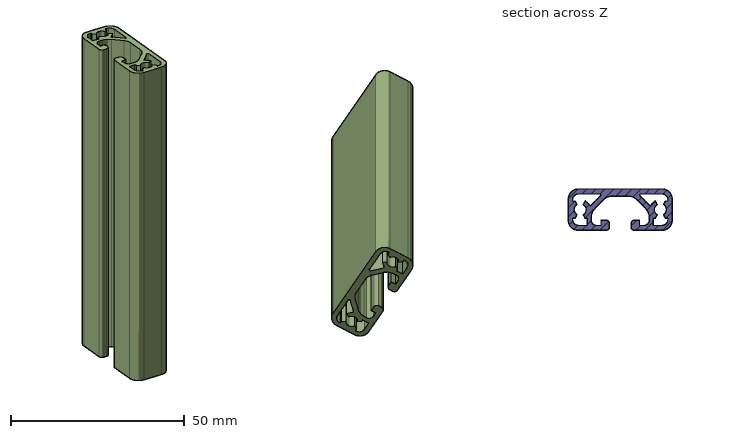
import cadquery as cq
import math

width = 30.0
depth = 12.0
length = 100.0
corner_radius = 3.0
side_wall = 1.3
face_wall = 1.5

half_depth = depth / 2
inner_face = half_depth - face_wall

slot_half_width = 3.1
lip_width = 2.5
lip_top = -3.0
lip_radius = 1.0
cavity_half_width = 8.3
cavity_ceiling = 3.8
cavity_floor_radius = 1.4
ceiling_radius = 3.0
shoulder_radius = 3.6

web_inner_offset = 7.6
web_thickness = 1.5
web_outer_offset = web_inner_offset + web_thickness * math.sqrt(2)

channel_x = 11.55
channel_radius = 1.7
channel_gap_half_angle = math.radians(30)
channel_rib_y = 2.5
hollow_inner_x = 9.55
web_root_radius = 0.3
hollow_corner_radius = corner_radius - side_wall
prong_offset = 7.45


def outer_bar():
    """Solid bar with rounded long edges, before the slot and hollows are removed."""
    return cq.Workplane("XY").rect(width, depth).extrude(length).edges("|Z").fillet(corner_radius)


def edges_at(solid, points, radius):
    """Fillet the long edges that pass through the given (x, y) points."""
    reach = 0.01
    for x, y in points:
        box = cq.selectors.BoxSelector(
            (x - reach, y - reach, -reach), (x + reach, y + reach, length + reach), boundingbox=True
        )
        solid = solid.edges(box).fillet(radius)
    return solid


def half_slot():
    """The +X half of the T-slot opening and its cavity."""
    lip_back_x = slot_half_width + lip_width
    wall_corner = (cavity_half_width, web_inner_offset - cavity_half_width)
    ceiling_corner = (web_inner_offset - cavity_ceiling, cavity_ceiling)
    slot = (
        cq.Workplane("XY")
        .moveTo(0, -half_depth)
        .lineTo(slot_half_width, -half_depth)
        .lineTo(slot_half_width, lip_top)
        .lineTo(lip_back_x, lip_top)
        .lineTo(lip_back_x, -inner_face)
        .lineTo(cavity_half_width, -inner_face)
        .lineTo(*wall_corner)
        .lineTo(*ceiling_corner)
        .lineTo(0, cavity_ceiling)
        .close()
        .extrude(length)
    )
    slot = edges_at(slot, [(cavity_half_width, -inner_face)], cavity_floor_radius)
    slot = edges_at(slot, [wall_corner], shoulder_radius)
    return edges_at(slot, [ceiling_corner], ceiling_radius)


def side_hollow():
    """The +X hollow, pinched by the ribs and the prong that form the screw channel."""
    gap_sin = math.sin(channel_gap_half_angle)
    gap_cos = math.cos(channel_gap_half_angle)
    gap_slope = math.tan(channel_gap_half_angle)
    gap_x = channel_radius * gap_sin
    gap_y = channel_radius * gap_cos

    hollow_outer_x = width / 2 - side_wall
    rib_outer_x = channel_x + channel_rib_y * gap_slope
    rib_inner_x = channel_x - channel_rib_y * gap_slope
    prong_reach = (channel_x - prong_offset) / (gap_sin + gap_cos)
    prong_tip = (channel_x - prong_reach * gap_sin, prong_reach * gap_cos)
    web_root = (web_outer_offset - inner_face, inner_face)
    prong_root = ((web_outer_offset + prong_offset) / 2, (web_outer_offset - prong_offset) / 2)

    hollow = (
        cq.Workplane("XY")
        .moveTo(hollow_inner_x, -inner_face)
        .lineTo(hollow_outer_x, -inner_face)
        .lineTo(hollow_outer_x, -channel_rib_y)
        .lineTo(rib_outer_x, -channel_rib_y)
        .lineTo(channel_x + gap_x, -gap_y)
        .threePointArc((channel_x + channel_radius, 0), (channel_x + gap_x, gap_y))
        .lineTo(rib_outer_x, channel_rib_y)
        .lineTo(hollow_outer_x, channel_rib_y)
        .lineTo(hollow_outer_x, inner_face)
        .lineTo(*web_root)
        .lineTo(*prong_root)
        .lineTo(*prong_tip)
        .lineTo(channel_x - gap_x, gap_y)
        .threePointArc((channel_x - channel_radius, 0), (channel_x - gap_x, -gap_y))
        .lineTo(rib_inner_x, -channel_rib_y)
        .lineTo(hollow_inner_x, -channel_rib_y)
        .close()
        .extrude(length)
    )
    corners = [(hollow_outer_x, -inner_face), (hollow_outer_x, inner_face)]
    hollow = edges_at(hollow, corners, hollow_corner_radius)
    return edges_at(hollow, [web_root], web_root_radius)


def round_lips(profile):
    """Round both edges of each slot lip, front and back."""
    lip_edges = [(side * slot_half_width, y) for side in (-1, 1) for y in (-half_depth, lip_top)]
    return edges_at(profile, lip_edges, lip_radius)


result = outer_bar()
for cutter in (half_slot(), side_hollow()):
    result = result.cut(cutter).cut(cutter.mirror("YZ"))
result = round_lips(result)